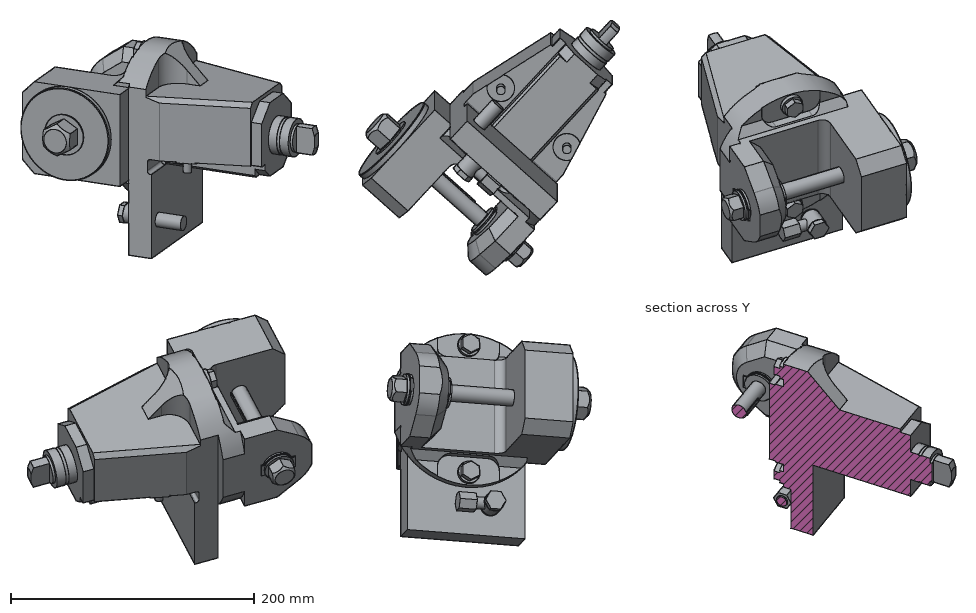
import cadquery as cq
import math


plate_width = 100.2
plate_thickness = 20.7
plate_bottom = -105.0
flange_radius = 65.0
flange_front = -7.5
flange_back = 15.5
pad_side = -48.2
pocket_floor = -6.8
pocket_width = 52.7
pocket_bottom = 41.0
pocket_radius = 9.9

fork_half_height = 40.0
web_front = -20.0
wedge_front = -14.5
near_arm_inner = -26.3
near_arm_outer = -67.2
near_arm_end = -88.2
near_arm_chamfer = 10.8
far_arm_inner = 33.6
far_arm_outer = 61.0
far_arm_end = -78.3
far_arm_radius = 32.7
far_arm_chamfer = 9.9
far_arm_root = -19.0
web_fillet = 7.5

pin_x = -47.7
pin_radius = 6.8
pin_key_width = 3.5
pin_key_height = 0.7
pin_key_end = 14.8
disc_radius = 40.0
disc_thickness = 5.0
disc_chamfer = 0.7
head_washer_radius = 17.5
head_washer_thickness = 1.2
head_flats = 24.2
head_end = -90.8
head_chamfer = 3.8
nut_flats = 19.3
nut_end = 77.8
nut_chamfer = 2.8
collar_radius = 12.7
collar_thickness = 5.2
collar_rim_radius = 13.2
collar_rim_thickness = 1.2
collar_tab_reach = 15.0
collar_tab_height = 11.8
collar_rim_offset = 2.0

body_top = 35.3
body_bottom = -32.0
body_end = 101.3
taper_start = 28.0
body_end_half_width = 30.8
body_chamfer = 4.0
keel_chamfer = 2.0
groove_top = -19.0
groove_front = 17.0
groove_inner = 22.3
groove_radius = 2.8
stop_y = 36.7
post_x = 47.0
post_radius = 3.5
post_end = -29.9
post_pad_radius = 11.3
post_pad_thickness = 1.0

rib_end_half_width = 7.5
rib_flare_radius = 17.9

end_plate_back = 110.7
end_plate_half_width = 29.2
end_plate_half_height = 32.0
end_plate_side_z = 18.5
end_plate_top_y = 13.0
spindle_radius = 16.0
spindle_end = 128.5
spindle_groove = (118.0, 120.5)
spindle_groove_depth = 0.5
spindle_neck_radius = 12.0
spindle_neck_end = 130.7
tang_radius = 12.2
tang_thickness = 8.2
tang_end = 147.0
tang_chamfer_length = 2.0
tang_tip_radius = 6.0

bolt_z = 54.5
bolt_flats = 13.9
bolt_washer_radius = 9.2
bolt_washer_front = -10.0
bolt_end = -15.5

adjuster_y = -20.0
adjuster_z = -80.0
adjuster_flats = 15.0
adjuster_end = -20.0
adjuster_body_radius = 8.2
adjuster_body_front = -15.5
adjuster_body_back = -1.2
adjuster_neck_radius = 7.5
cross_bolt_flats = 14.0
cross_bolt_radius = 5.0
cross_bolt_head_start = -5.2
cross_bolt_head_end = 9.5
rod_radius = 6.0
rod_end = 43.5
rod_z = -75.2

plate_half_width = plate_width / 2


def block(x0, x1, y0, y1, z0, z1):
    return cq.Workplane("XY").box(x1 - x0, y1 - y0, z1 - z0, centered=False).translate((x0, y0, z0))


def rod_x(radius, x0, x1, y=0, z=0):
    """Cylinder along X."""
    return cq.Workplane("YZ", origin=(x0, y, z)).circle(radius).extrude(x1 - x0)


def rod_y(radius, y0, y1, x, z=0):
    """Cylinder along Y."""
    return cq.Workplane("XZ", origin=(x, y0, z)).circle(radius).extrude(y0 - y1)


def hex_corner(flats):
    return flats / math.sqrt(3)


def hex_points(flats, first_angle):
    corner = hex_corner(flats)
    angles = [math.radians(first_angle + 60 * i) for i in range(6)]
    return [(corner * math.cos(a), corner * math.sin(a)) for a in angles]


def hex_x(flats, x0, x1, y, z, first_angle):
    """Hexagonal prism along X; the first corner's angle is measured from Y towards Z."""
    outline = hex_points(flats, first_angle)
    return cq.Workplane("YZ", origin=(x0, y, z)).polyline(outline).close().extrude(x1 - x0)


def hex_y(flats, y0, y1, x, z, first_angle):
    """Hexagonal prism along Y; the first corner's angle is measured from X towards Z."""
    outline = hex_points(flats, first_angle)
    return cq.Workplane("XZ", origin=(x, y0, z)).polyline(outline).close().extrude(y0 - y1)


def make_flange():
    """Round flange, flush with the plate sides, with 45 degree faces running down to the fork."""
    seat_half_height = fork_half_height + flange_front - wedge_front
    wedge = (
        cq.Workplane("XZ", origin=(0, far_arm_outer, 0))
        .moveTo(0, flange_radius)
        .lineTo(flange_front, flange_radius)
        .lineTo(flange_front, seat_half_height)
        .lineTo(wedge_front, fork_half_height)
        .lineTo(wedge_front, -fork_half_height)
        .lineTo(flange_front, -seat_half_height)
        .lineTo(flange_front, -flange_radius)
        .lineTo(0, -flange_radius)
        .close()
        .extrude(far_arm_outer - pad_side)
    )
    front = rod_x(flange_radius, wedge_front, 0).intersect(wedge)
    back = rod_x(flange_radius, 0, flange_back).intersect(
        block(0, flange_back, -plate_half_width, plate_half_width, -flange_radius, flange_radius)
    )
    pocket = block(
        web_front, pocket_floor, -pocket_width / 2, pocket_width / 2, pocket_bottom, 2 * flange_radius
    ).edges("|X").fillet(pocket_radius)
    return front.union(back).cut(pocket).cut(pocket.mirror("XY"))


def make_plate():
    return block(0, plate_thickness, -plate_half_width, plate_half_width, plate_bottom, 0)


def make_near_arm():
    arm = block(near_arm_end, 0, near_arm_outer, near_arm_inner, -fork_half_height, fork_half_height)
    return arm.edges("|Y and <X").chamfer(near_arm_chamfer)


def make_far_arm():
    """Arm whose slopes run tangent to an arc around the pin, with a flat across the tip."""
    slope_angle = math.acos(far_arm_radius / fork_half_height)
    tangent_x = pin_x - far_arm_radius * math.sin(slope_angle)
    tangent_z = far_arm_radius * math.cos(slope_angle)
    arm = (
        cq.Workplane("XZ", origin=(0, far_arm_outer, 0))
        .moveTo(0, fork_half_height)
        .lineTo(pin_x, fork_half_height)
        .lineTo(tangent_x, tangent_z)
        .threePointArc((pin_x - far_arm_radius, 0), (tangent_x, -tangent_z))
        .lineTo(pin_x, -fork_half_height)
        .lineTo(0, -fork_half_height)
        .close()
        .extrude(far_arm_outer - far_arm_inner)
    )
    arm = arm.faces("<Y").edges("not >X").chamfer(far_arm_chamfer)
    limit = block(
        far_arm_end, far_arm_root, far_arm_inner, far_arm_outer, -fork_half_height, fork_half_height
    ).union(rod_x(flange_radius, far_arm_root, 0))
    return arm.intersect(limit)


def make_web():
    """Web joining the arms, with a fillet into the near arm."""
    far_edge = math.sqrt(flange_radius**2 - fork_half_height**2)
    web = block(web_front, wedge_front, near_arm_inner, far_edge, -fork_half_height, fork_half_height)
    corner = block(
        web_front - web_fillet, web_front,
        near_arm_inner, near_arm_inner + web_fillet,
        -fork_half_height, fork_half_height,
    )
    round_cut = (
        cq.Workplane("XY", origin=(web_front - web_fillet, near_arm_inner + web_fillet, -fork_half_height))
        .circle(web_fillet)
        .extrude(2 * fork_half_height)
    )
    return web.union(corner.cut(round_cut))


def make_collar(arm_face, direction):
    """Collar on an arm face, standing off along +Y or -Y, with a rim that has a tab on either side."""
    collar_end = arm_face + direction * collar_thickness
    rim_start = arm_face + direction * collar_rim_offset
    rim_end = rim_start + direction * collar_rim_thickness
    tabs = block(
        pin_x - collar_tab_reach, pin_x + collar_tab_reach,
        min(rim_start, rim_end), max(rim_start, rim_end),
        -collar_tab_height / 2, collar_tab_height / 2,
    )
    return (
        rod_y(collar_radius, arm_face, collar_end, pin_x)
        .union(rod_y(collar_rim_radius, rim_start, rim_end, pin_x))
        .union(tabs)
    )


def make_hex_end(flats, seat, end, chamfer):
    """Hexagon around the pin with a coned outer end."""
    cone = rod_y(hex_corner(flats), seat, end, pin_x)
    cone = cone.faces(">Y" if end > seat else "<Y").chamfer(chamfer)
    return hex_y(flats, seat, end, pin_x, 0, 90).intersect(cone)


def make_pin():
    disc_face = near_arm_outer - disc_thickness
    head_seat = disc_face - head_washer_thickness
    nut_seat = far_arm_outer + collar_thickness
    disc = rod_y(disc_radius, near_arm_outer, disc_face, pin_x).faces("<Y").chamfer(disc_chamfer)
    key = block(
        pin_x, pin_x + pin_radius + pin_key_height,
        near_arm_inner, pin_key_end,
        -pin_key_width / 2, pin_key_width / 2,
    )
    return (
        rod_y(pin_radius, head_seat, nut_seat, pin_x)
        .union(key)
        .union(disc)
        .union(rod_y(head_washer_radius, disc_face, head_seat, pin_x))
        .union(make_hex_end(head_flats, head_seat, head_end, head_chamfer))
        .union(make_collar(far_arm_outer, 1))
        .union(make_collar(far_arm_inner, -1))
        .union(make_hex_end(nut_flats, nut_seat, nut_end, nut_chamfer))
    )


def make_body():
    """Tapered body with its upper sloping edges chamfered."""
    slope = (plate_half_width - body_end_half_width) / (body_end - taper_start)
    start_half_width = plate_half_width + slope * (taper_start - flange_back)
    body = (
        cq.Workplane("XY", origin=(0, 0, body_bottom))
        .polyline([
            (flange_back, -start_half_width),
            (body_end, -body_end_half_width),
            (body_end, body_end_half_width),
            (flange_back, start_half_width),
        ])
        .close()
        .extrude(body_top - body_bottom)
        .faces(">Z").edges("not(<X or >X)").chamfer(body_chamfer)
    )
    return body.intersect(
        block(0, body_end, -plate_half_width, plate_half_width, body_bottom, body_top)
    )


def make_end_plate():
    """Octagonal plate closing the narrow end of the body."""
    upper = [
        (end_plate_half_width, end_plate_side_z),
        (end_plate_top_y, end_plate_half_height),
        (-end_plate_top_y, end_plate_half_height),
        (-end_plate_half_width, end_plate_side_z),
    ]
    lower = [(-y, -z) for y, z in upper]
    return (
        cq.Workplane("YZ", origin=(body_end, 0, 0))
        .polyline(upper + lower)
        .close()
        .extrude(end_plate_back - body_end)
    )


def make_side_groove():
    """Cutter for the groove under the -Y side wall; it leaves a post on a low round pad."""
    groove = block(
        groove_front, end_plate_back, -2 * plate_half_width, -groove_inner, body_bottom, groove_top
    ).edges("|Y and <X").fillet(groove_radius)
    post_base = cq.Workplane("XY", origin=(post_x, -stop_y, groove_top))
    pad = post_base.circle(post_pad_radius).extrude(-post_pad_thickness)
    post = post_base.circle(post_radius).extrude(post_end - groove_top)
    return groove.cut(pad).cut(post)


def make_keel_chamfer():
    """Cutter for the 45 degree bevel along the lower -Y edge of the body."""
    return (
        cq.Workplane("YZ", origin=(plate_thickness, -groove_inner, body_bottom))
        .polyline([(0, 0), (keel_chamfer, 0), (0, keel_chamfer)])
        .close()
        .extrude(body_end - plate_thickness)
    )


def make_rib():
    """Rib sloping at 45 degrees from the flange edge, flared by two arcs into the flange."""
    rib_end = flange_back + flange_radius - body_top
    flare_end = flange_back + rib_flare_radius
    flare_half_width = rib_end_half_width + rib_flare_radius
    arc_inset = rib_flare_radius * (1 - math.sqrt(0.5))
    mid_x = flange_back + arc_inset
    mid_y = rib_end_half_width + arc_inset
    plan = (
        cq.Workplane("XY")
        .moveTo(rib_end, -rib_end_half_width)
        .lineTo(rib_end, rib_end_half_width)
        .lineTo(flare_end, rib_end_half_width)
        .threePointArc((mid_x, mid_y), (flange_back, flare_half_width))
        .lineTo(flange_back, -flare_half_width)
        .threePointArc((mid_x, -mid_y), (flare_end, -rib_end_half_width))
        .close()
        .extrude(flange_radius)
    )
    slope = (
        cq.Workplane("XZ", origin=(0, flare_half_width, 0))
        .polyline([(flange_back, 0), (rib_end, 0), (rib_end, body_top), (flange_back, flange_radius)])
        .close()
        .extrude(2 * flare_half_width)
    )
    return plan.intersect(slope).intersect(rod_x(flange_radius, flange_back, rib_end))


def make_spindle():
    """Round spindle with a shallow groove, a neck and a flat driving tang."""
    groove_start, groove_end = spindle_groove
    tang_flats = block(
        spindle_neck_end, tang_end,
        -tang_thickness / 2, tang_thickness / 2,
        -tang_radius, tang_radius,
    )
    tang_chamfer_start = tang_end - tang_chamfer_length
    tang_round = (
        cq.Workplane("XY")
        .moveTo(spindle_neck_end, 0)
        .lineTo(spindle_neck_end, tang_radius)
        .lineTo(tang_chamfer_start, tang_radius)
        .lineTo(tang_end, tang_tip_radius)
        .lineTo(tang_end, 0)
        .close()
        .revolve(360, (0, 0, 0), (1, 0, 0))
    )
    tang = tang_round.intersect(tang_flats)
    return (
        rod_x(spindle_radius, end_plate_back, groove_start)
        .union(rod_x(spindle_radius - spindle_groove_depth, groove_start, groove_end))
        .union(rod_x(spindle_radius, groove_end, spindle_end))
        .union(rod_x(spindle_neck_radius, spindle_end, spindle_neck_end))
        .union(tang)
    )


def make_flange_bolt(z):
    washer = rod_x(bolt_washer_radius, bolt_washer_front, pocket_floor, 0, z)
    return washer.union(hex_x(bolt_flats, bolt_end, bolt_washer_front, 0, z, 90))


def make_adjuster():
    """Clamp stud on the plate with a bolt crossing it along Y, and the stop rod behind the plate."""
    cross_x = (adjuster_body_front + adjuster_body_back) / 2
    return (
        hex_x(adjuster_flats, adjuster_end, adjuster_body_front, adjuster_y, adjuster_z, 0)
        .union(rod_x(adjuster_body_radius, adjuster_body_front, adjuster_body_back, adjuster_y, adjuster_z))
        .union(rod_x(adjuster_neck_radius, adjuster_body_back, 0, adjuster_y, adjuster_z))
        .union(rod_y(cross_bolt_radius, adjuster_y, cross_bolt_head_start, cross_x, adjuster_z))
        .union(hex_y(cross_bolt_flats, cross_bolt_head_start, cross_bolt_head_end, cross_x, adjuster_z, 0))
        .union(rod_x(rod_radius, plate_thickness, rod_end, -stop_y, rod_z))
    )


groove = make_side_groove()
keel = make_keel_chamfer()

result = make_plate().union(make_body()).union(make_end_plate()).union(make_flange())
for cutter in (groove, keel):
    result = result.cut(cutter).cut(cutter.mirror("XZ"))

for piece in (
    make_web(),
    make_near_arm(),
    make_far_arm(),
    make_pin(),
    make_rib(),
    make_spindle(),
    make_flange_bolt(bolt_z),
    make_flange_bolt(-bolt_z),
    make_adjuster(),
):
    result = result.union(piece)